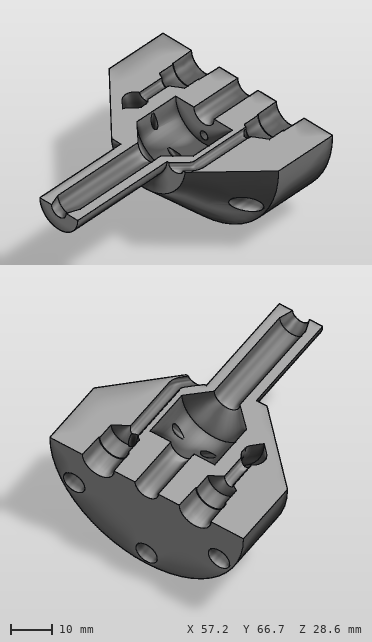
import cadquery as cq
import math

length = 66.7
body_radius = length * 3 / 7
body_depth = length * 2 / 7
cap_radius = body_radius / 3
cap_depth = body_depth + body_radius - cap_radius
tube_radius = 6.4

back_bore_radius = 3.4
chamber_radius = 9.55
chamber_start = 15.5
chamber_end = 29.2
tube_bore_start = 34.75
tube_bore_radius = 3.8
taper_start = 63.0
tip_bore_radius = 2.5

helix_drop = 2.95
helix_overrun = 10.0
cutter_inner_radius = 4.7
cutter_outer_radius = 14.7
cutter_depth = 6.0

bolt_circle = 24.7
bolt_radius = 3.15
bolt_angles = (30, 90, 150)

port_offset = body_radius / 2
port_mouth_radius = 4.7
port_step_radius = 4.5
port_step_depth = 6.9
port_radius = 4.2
port_depth = 11.75
port_tip_depth = 14.3

channel_radius = 1.7
left_channel_x = -15.2
right_channel_x = 12.75
bend_start = 30.55
bend_radius = 3.0
bend_angle = 45.0
outlet_length = 6.7
manifold_center = 15.7
manifold_radius = 3.15
manifold_depth = 23.4
manifold_inner = 12.7
manifold_start_angle = 12.0
manifold_sweep = 170.0
jet_radius = 0.95
jet_depth = 23.6
jet_offset = 8.5
jet_length = 12.0
jet_angles = (67, 127, 187)

passage_x = 12.4
passage_radius = 1.3
passage_depth = 12.55
passage_drop = 7.0


def turned(points, center_x=0):
    """Solid of revolution from (radius, depth) points about a line parallel to Y."""
    outline = [(center_x + radius, -depth) for radius, depth in points]
    return cq.Workplane("XY").polyline(outline).close().revolve(360, (center_x, 0), (center_x, 1))


def rod(start, end, radius):
    """Round rod between two points."""
    axis = cq.Vector(*end) - cq.Vector(*start)
    return cq.Workplane(cq.Solid.makeCylinder(radius, axis.Length, cq.Vector(*start), axis))


def around(radius, angle, depth):
    """Point at an angle about the axis, from +X toward -Z."""
    turn = math.radians(angle)
    return (radius * math.cos(turn), -depth, -radius * math.sin(turn))


def make_body():
    head = turned([
        (0, 0), (body_radius, 0), (body_radius, body_depth), (cap_radius, cap_depth), (0, cap_depth),
    ])
    tube = rod((0, -chamber_start, 0), (0, -length, 0), tube_radius)
    return head.cut(make_helix_cutter()).union(tube)


def make_helix_cutter():
    turn = 180 + 2 * helix_overrun
    rise = helix_drop * turn / 180
    start_depth = cap_depth + helix_drop * helix_overrun / 180
    helix = cq.Wire.makeHelix(2 * helix_drop, rise, cap_radius, lefthand=True)
    cutter = (
        cq.Workplane("XZ")
        .moveTo(cutter_inner_radius, 0)
        .lineTo(cutter_outer_radius, 0)
        .lineTo(cutter_outer_radius, -cutter_depth)
        .lineTo(cutter_inner_radius, -cutter_depth)
        .close()
        .sweep(cq.Workplane(helix), isFrenet=True)
    )
    cutter = cutter.rotate((0, 0, 0), (0, 0, 1), 180 + helix_overrun)
    return cutter.rotate((0, 0, 0), (1, 0, 0), -90).translate((0, -start_depth, 0))


def make_center_bore():
    return turned([
        (0, 0), (back_bore_radius, 0), (back_bore_radius, chamber_start),
        (chamber_radius, chamber_start), (chamber_radius, chamber_end),
        (tube_bore_radius, tube_bore_start), (tube_bore_radius, taper_start),
        (tip_bore_radius, length), (0, length),
    ])


def make_port(center_x):
    return turned([
        (0, 0), (port_mouth_radius, 0), (port_step_radius, port_step_depth),
        (port_radius, port_step_depth), (port_radius, port_depth), (0, port_tip_depth),
    ], center_x)


def make_right_channel():
    turn = math.radians(bend_angle)
    center_x = right_channel_x - bend_radius

    def on_bend(angle):
        return (center_x + bend_radius * math.cos(angle), -bend_start - bend_radius * math.sin(angle))

    bend_end = on_bend(turn)
    outlet = (
        bend_end[0] - outlet_length * math.sin(turn),
        bend_end[1] - outlet_length * math.cos(turn),
    )
    path = (
        cq.Workplane("XY")
        .moveTo(right_channel_x, -port_depth)
        .lineTo(right_channel_x, -bend_start)
        .threePointArc(on_bend(turn / 2), bend_end)
        .lineTo(*outlet)
    )
    profile = cq.Workplane("XZ", origin=(right_channel_x, -port_depth, 0)).circle(channel_radius)
    channel = profile.sweep(path)
    return channel.cut(rod((0, 0, 0), (0, -length, 0), tube_radius))


def make_manifold():
    """Ring channel with a round back, a 45 degree pointed front and a flat inner wall."""
    slant = manifold_radius * math.sqrt(0.5)
    point_depth = manifold_depth + manifold_radius * math.sqrt(2)
    section = (
        cq.Workplane("XY")
        .moveTo(manifold_center - slant, -manifold_depth - slant)
        .threePointArc((manifold_center, -manifold_depth + manifold_radius),
                       (manifold_center + slant, -manifold_depth - slant))
        .lineTo(manifold_center, -point_depth)
        .close()
    )
    ring = section.revolve(manifold_sweep, (0, 0), (0, 1))
    ring = ring.rotate((0, 0, 0), (0, 1, 0), manifold_start_angle)
    return ring.cut(rod((0, 0, 0), (0, -length, 0), manifold_inner))


def make_jet(angle):
    """Jet running tangentially from the manifold into the chamber."""
    foot = cq.Vector(*around(jet_offset, angle, jet_depth))
    run = cq.Vector(*around(jet_length, angle - 90, 0))
    return rod(foot.toTuple(), (foot + run).toTuple(), jet_radius)


def make_passage():
    points = [
        (passage_x, -passage_depth, 0),
        (passage_x, -passage_depth, -passage_drop),
        (0, -passage_depth, -passage_drop),
        (0, -chamber_start, -passage_drop),
    ]
    passage = rod(points[0], points[1], passage_radius)
    for corner, following in zip(points[1:], points[2:]):
        elbow = cq.Workplane("XY").sphere(passage_radius).translate(corner)
        passage = passage.union(elbow).union(rod(corner, following, passage_radius))
    return passage


body = make_body().cut(make_center_bore())
for bolt_angle in bolt_angles:
    back_end = around(bolt_circle, bolt_angle, 0)
    front_end = around(bolt_circle, bolt_angle, length)
    body = body.cut(rod(back_end, front_end, bolt_radius))
for port_x in (-port_offset, port_offset):
    body = body.cut(make_port(port_x))
body = body.cut(rod((left_channel_x, -port_depth, 0), (left_channel_x, -manifold_depth, 0), channel_radius))
body = body.cut(make_right_channel())
body = body.cut(make_manifold())
for jet_angle in jet_angles:
    body = body.cut(make_jet(jet_angle))
body = body.cut(make_passage())

lower_half = cq.Workplane("XY").box(2 * length, 3 * length, length, centered=(True, True, False))
result = body.cut(lower_half)